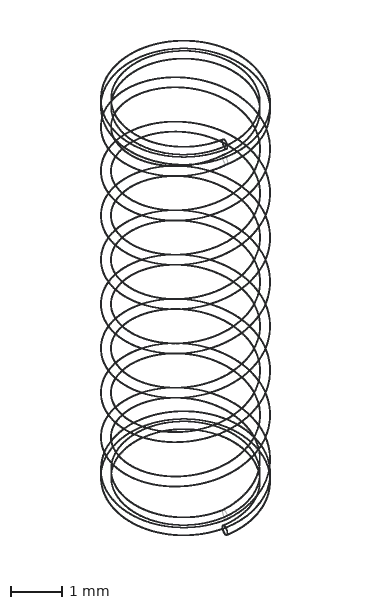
import cadquery as cq

free_length = 10.6
outer_diameter = 3.3
wire_diameter = 0.2
closed_pitch = 0.21
closed_turns = 2
active_turns = 8

coil_radius = (outer_diameter - wire_diameter) / 2
closed_height = closed_turns * closed_pitch
active_height = free_length - wire_diameter - 2 * closed_height
active_pitch = active_height / active_turns
start_z = -free_length / 2 + wire_diameter / 2


def coil(pitch, height, base_z):
    """Right-handed coil that starts and ends on the +X side, cut in the XZ plane."""
    centre_line = cq.Wire.makeHelix(pitch, height, coil_radius)
    section = cq.Workplane("XZ").center(coil_radius, 0).circle(wire_diameter / 2)
    return section.sweep(cq.Workplane(centre_line), isFrenet=True).translate((0, 0, base_z))


active_z = start_z + closed_height
top_z = active_z + active_height
bottom_coils = coil(closed_pitch, closed_height, start_z)
active_coils = coil(active_pitch, active_height, active_z)
top_coils = coil(closed_pitch, closed_height, top_z)

result = bottom_coils.union(active_coils).union(top_coils)